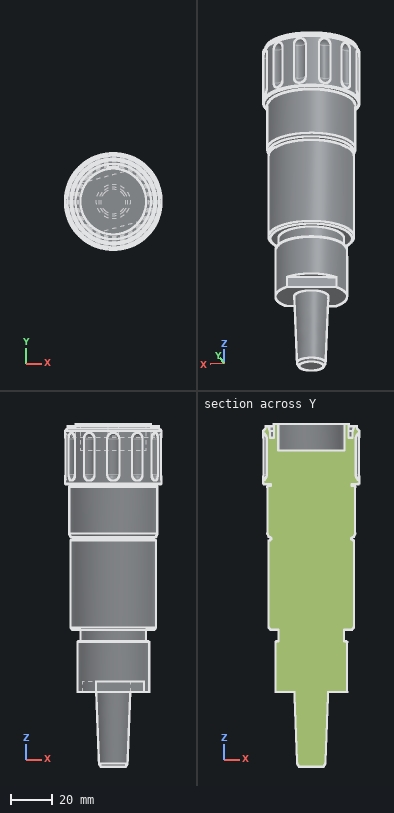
import cadquery as cq
import math

total_height = 166.4

stem_tip_radius = 6.0
stem_low_radius = 7.0
stem_top_radius = 8.3
stem_tip_height = 1.7

nut_radius = 17.5
nut_bottom = 36.3
nut_top = 61.0
flat_top = 41.5
flat_distance = 12.6
flat_angle = 15.0

neck_radius = 16.0
barrel_radius = 20.8
barrel_bottom = 66.5
barrel_top = 109.8
barrel_chamfer = 1.0

groove_radius = 19.1
groove_height = 1.8
upper_radius = 21.5
upper_chamfer_height = 1.7
upper_bottom = barrel_top + groove_height
upper_top = 136.5

ring_radius = 23.5
ring_bottom = 137.1
ring_top = 165.4
ring_rim_radius = 22.3
ring_rim_height = 1.2
undercut_radius = 19.6
recess_count = 12
recess_radius = 3.5
recess_axis_offset = 1.7
recess_low_center = 142.0
recess_high_center = 159.0

tube_outer_radius = 18.3
tube_inner_radius = 16.0
tube_depth = 12.8
gap_outer_radius = 20.0
gap_mouth_flare = 0.8
gap_mouth_height = 2.5
gap_depth = 5.7

notch_width = 5.0
notch_floor_radius = 16.6
notch_depth = 5.8

small_chamfer = 0.5


def turned_body():
    """Solid of revolution carrying every outer step."""
    ring_slope = ring_radius - ring_rim_radius
    rim_base = ring_top - ring_rim_height
    profile = [
        (0, 0),
        (stem_tip_radius, 0),
        (stem_low_radius, stem_tip_height),
        (stem_top_radius, nut_bottom),
        (nut_radius, nut_bottom),
        (nut_radius, nut_top - small_chamfer),
        (nut_radius - small_chamfer, nut_top),
        (neck_radius, nut_top),
        (neck_radius, barrel_bottom),
        (barrel_radius - barrel_chamfer, barrel_bottom),
        (barrel_radius, barrel_bottom + barrel_chamfer),
        (barrel_radius, barrel_top),
        (groove_radius, barrel_top + groove_height / 2),
        (barrel_radius, upper_bottom),
        (upper_radius, upper_bottom + upper_chamfer_height),
        (upper_radius, upper_top - small_chamfer),
        (upper_radius - small_chamfer, upper_top),
        (undercut_radius, upper_top),
        (undercut_radius, ring_bottom),
        (ring_radius - small_chamfer, ring_bottom),
        (ring_radius, ring_bottom + small_chamfer),
        (ring_radius, rim_base - ring_slope),
        (ring_rim_radius, rim_base),
        (ring_rim_radius, ring_top),
        (tube_outer_radius, ring_top),
        (tube_outer_radius, total_height),
        (0, total_height),
    ]
    return cq.Workplane("XZ").polyline(profile).close().revolve(360, (0, 0), (0, 1))


def socket_bore():
    """Blind round bore inside the tube."""
    floor = cq.Workplane("XY", (0, 0, total_height - tube_depth))
    return floor.circle(tube_inner_radius).extrude(tube_depth)


def ring_gap():
    """Annular space between the tube and the coupling ring, flared at its mouth."""
    gap_floor = ring_top - gap_depth
    profile = [
        (tube_outer_radius, gap_floor),
        (gap_outer_radius, gap_floor),
        (gap_outer_radius, ring_top - gap_mouth_height),
        (gap_outer_radius + gap_mouth_flare, ring_top),
        (tube_outer_radius, ring_top),
    ]
    return cq.Workplane("XZ").polyline(profile).close().revolve(360, (0, 0), (0, 1))


def key_notch():
    """Straight notch cut into the tube wall from outside, open at the top."""
    length = gap_outer_radius - notch_floor_radius
    block = cq.Workplane("XY").box(notch_width, length, notch_depth, centered=(True, False, False))
    return block.translate((0, notch_floor_radius, total_height - notch_depth))


def grip_recess(angle):
    """Shallow ball-ended groove whose axis lies just outside the ring surface."""
    diagonal = recess_radius / math.sqrt(2)
    capsule = (
        cq.Workplane("XZ")
        .moveTo(0, recess_low_center - recess_radius)
        .threePointArc((diagonal, recess_low_center - diagonal), (recess_radius, recess_low_center))
        .lineTo(recess_radius, recess_high_center)
        .threePointArc((diagonal, recess_high_center + diagonal), (0, recess_high_center + recess_radius))
        .close()
        .revolve(360, (0, 0), (0, 1))
    )
    axis_distance = ring_radius + recess_axis_offset
    return capsule.translate((axis_distance, 0, 0)).rotate((0, 0, 0), (0, 0, 1), angle)


def wrench_flat(angle):
    """Block removing one side of the nut below the flat's shoulder."""
    height = flat_top - nut_bottom
    block = cq.Workplane("XY").box(nut_radius, 2 * nut_radius, height, centered=(False, True, False))
    return block.translate((flat_distance, 0, nut_bottom)).rotate((0, 0, 0), (0, 0, 1), angle)


result = turned_body().cut(socket_bore()).cut(ring_gap()).cut(key_notch())

for index in range(recess_count):
    result = result.cut(grip_recess(index * 360 / recess_count))

for side in (90, 270):
    result = result.cut(wrench_flat(side + flat_angle))